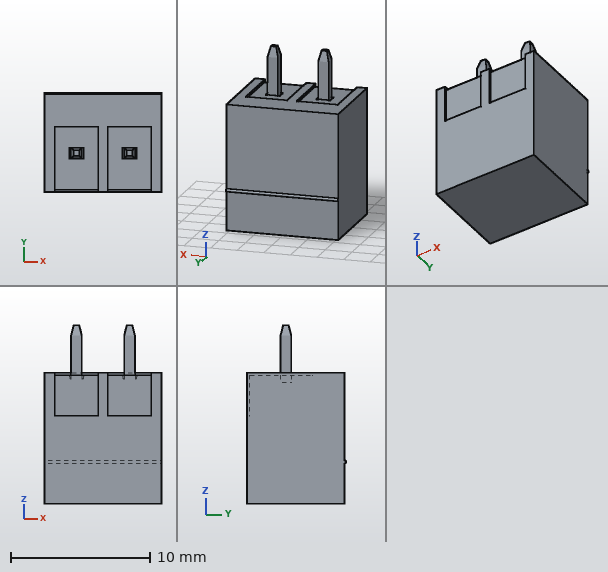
import cadquery as cq

pole_count = 2
pitch = 3.81
end_margin = 2.3
housing_width = (pole_count - 1) * pitch + 2 * end_margin
housing_depth = 7.01
housing_height = 9.43

recess_width = 3.1
recess_length = 4.7
recess_drop = 3.1
recess_depth = 0.18

pin_size = 0.79
pin_setback = 2.8
pin_top = 12.845
tip_size = 0.4
tip_height = 0.76

relief_width = 1.05
tip_slope = (pin_size - tip_size) / tip_height
relief_depth = (relief_width - pin_size) / tip_slope

rib_radius = 0.114
rib_center_z = 3.02

recess_floor = housing_height - recess_depth
pole_positions = [(i - (pole_count - 1) / 2) * pitch for i in range(pole_count)]


def make_housing():
    return cq.Workplane("XY").box(
        housing_width, housing_depth, housing_height, centered=(True, False, False)
    )


def make_rib():
    """Round bar centred on the back face, so half of it stands out."""
    return (
        cq.Workplane("YZ", origin=(-housing_width / 2, housing_depth, rib_center_z))
        .circle(rib_radius)
        .extrude(housing_width)
    )


def make_recess(x):
    """L-shaped cut over the top front edge."""
    profile = [
        (0, housing_height),
        (recess_length, housing_height),
        (recess_length, recess_floor),
        (recess_depth, recess_floor),
        (recess_depth, housing_height - recess_drop),
        (0, housing_height - recess_drop),
    ]
    return (
        cq.Workplane("YZ", origin=(x - recess_width / 2, 0, 0))
        .polyline(profile)
        .close()
        .extrude(recess_width)
    )


def make_relief(x):
    """Wedge-sided pocket, as deep in Y as the pin."""
    profile = [
        (x - relief_width / 2, recess_floor),
        (x + relief_width / 2, recess_floor),
        (x + pin_size / 2, recess_floor - relief_depth),
        (x - pin_size / 2, recess_floor - relief_depth),
    ]
    return (
        cq.Workplane("XZ", origin=(0, pin_setback + pin_size / 2, 0))
        .polyline(profile)
        .close()
        .extrude(pin_size)
    )


def make_pin(x):
    """Square shank rising from the relief bottom, with a pyramidal tip."""
    shank_bottom = recess_floor - relief_depth
    shank_top = pin_top - tip_height
    shank = (
        cq.Workplane("XY", origin=(x, pin_setback, shank_bottom))
        .rect(pin_size, pin_size)
        .extrude(shank_top - shank_bottom)
    )
    tip = (
        cq.Workplane("XY", origin=(x, pin_setback, shank_top))
        .rect(pin_size, pin_size)
        .workplane(offset=tip_height)
        .rect(tip_size, tip_size)
        .loft(ruled=True)
    )
    return shank.union(tip)


result = make_housing().union(make_rib())
for pole_x in pole_positions:
    result = result.cut(make_recess(pole_x)).cut(make_relief(pole_x)).union(make_pin(pole_x))